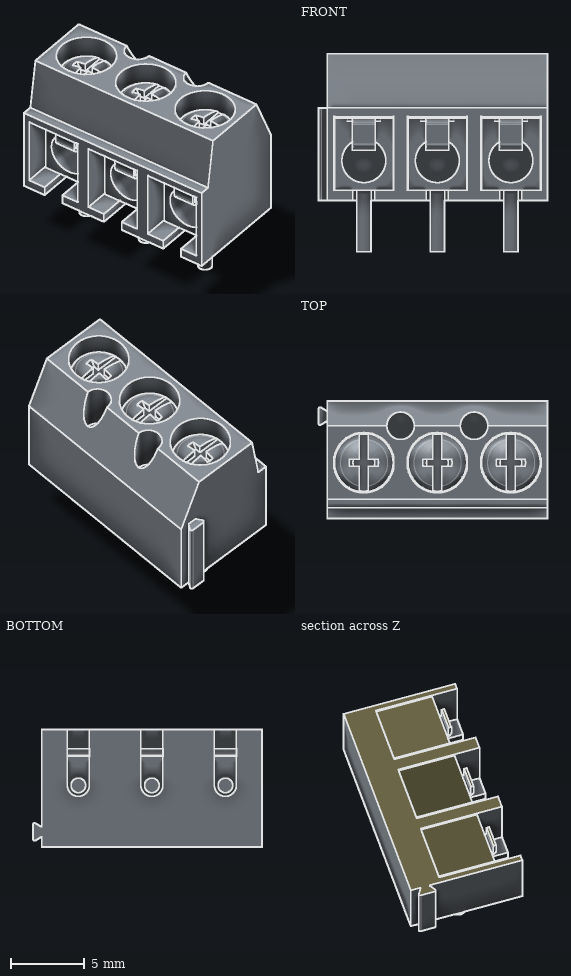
import cadquery as cq
import math


pole_count = 3
pitch = 5.0
pole_y = 3.8

housing_width = 15.0
housing_depth = 8.0
housing_height = 10.0
shoulder_height = 6.3
shoulder_depth = 0.73
top_front_y = 1.31
top_back_y = 6.32
floor_thickness = 0.69
chamber_width = 4.1
chamber_height = 5.02
pin_slot_width = 1.5
screw_bore_diameter = chamber_width
notch_diameter = 1.87
notch_floor_z = shoulder_height

rail_depth = 0.6
rail_y = 6.97
rail_neck_width = 0.67
rail_face_width = 1.4
rail_corner_radius = 0.117

block_side = 4.0
block_height = 4.91
pad_side = 3.37
wire_hole_diameter = 3.0
wire_hole_z = 2.71
pin_diameter = 1.0
pin_length = 3.5

tongue_width = 1.58
tongue_thickness = 0.22
tongue_reach = 0.48
tongue_bend_radius = 0.42
tongue_bottom_z = 3.43
tongue_root_radius = 0.33

screw_diameter = block_side
screw_rim_width = 0.39
dome_edge_z = 8.69
dome_rise = 0.31
slot_width = 0.61
slot_floor_z = 8.36
cross_width = 0.48
cross_top_length = 2.12
cross_floor_length = 1.48

pole_xs = [housing_width / 2 + pitch * (i - (pole_count - 1) / 2) for i in range(pole_count)]
notch_xs = [x + pitch / 2 for x in pole_xs[:-1]]
chamber_top_z = floor_thickness + chamber_height
block_top_z = floor_thickness + block_height
block_front_y = pole_y - block_side / 2
block_back_y = pole_y + block_side / 2


def vertical_cylinder(x, y, diameter, bottom_z, top_z):
    return cq.Workplane(origin=(x, y, bottom_z)).circle(diameter / 2).extrude(top_z - bottom_z)


def block_between(x, width, front_y, back_y, bottom_z, top_z):
    """A box centred on x across its width."""
    return cq.Workplane(origin=(x, front_y, bottom_z)).box(
        width, back_y - front_y, top_z - bottom_z, centered=(True, False, False)
    )


def housing_shell():
    """Plain housing: a side outline with a front shoulder and a sloping back, run along X."""
    return (
        cq.Workplane("YZ")
        .polyline(
            [
                (0, 0),
                (housing_depth, 0),
                (housing_depth, shoulder_height),
                (top_back_y, housing_height),
                (top_front_y, housing_height),
                (shoulder_depth, shoulder_height),
                (0, shoulder_height),
            ]
        )
        .close()
        .extrude(housing_width)
    )


def dovetail_rail():
    """Rail that widens away from the side wall and has rounded outer corners."""
    return (
        cq.Workplane(origin=(0, rail_y, 0))
        .polyline(
            [
                (0, -rail_neck_width / 2),
                (0, rail_neck_width / 2),
                (-rail_depth, rail_face_width / 2),
                (-rail_depth, -rail_face_width / 2),
            ]
        )
        .close()
        .extrude(shoulder_height)
        .edges("|Z and <X")
        .fillet(rail_corner_radius)
    )


def pole_cavity(x):
    """Chamber for the terminal, slot in the floor for the pin, and bore for the screw."""
    chamber = block_between(x, chamber_width, 0, block_back_y, floor_thickness, chamber_top_z)
    slot = block_between(x, pin_slot_width, 0, pole_y, 0, floor_thickness)
    slot_end = vertical_cylinder(x, pole_y, pin_slot_width, 0, floor_thickness)
    screw_bore = vertical_cylinder(x, pole_y, screw_bore_diameter, chamber_top_z, housing_height)
    return chamber.union(slot).union(slot_end).union(screw_bore)


def make_housing():
    housing = housing_shell().union(dovetail_rail())
    for x in pole_xs:
        housing = housing.cut(pole_cavity(x))
    for x in notch_xs:
        housing = housing.cut(
            vertical_cylinder(x, top_back_y, notch_diameter, notch_floor_z, housing_height)
        )
    return housing


def tongue_strip(x):
    """Strip that leaves the block forwards, bends down and curls back at its lower end."""
    outer = tongue_bend_radius
    inner = outer - tongue_thickness
    front_y = block_front_y - tongue_reach
    inside_y = front_y + tongue_thickness
    bend_y = front_y + outer
    upper_bend_z = block_top_z - outer
    lower_bend_z = tongue_bottom_z + outer
    diagonal = math.sqrt(0.5)
    return (
        cq.Workplane("YZ", origin=(x, 0, 0))
        .moveTo(block_front_y, block_top_z)
        .lineTo(bend_y, block_top_z)
        .threePointArc(
            (bend_y - outer * diagonal, upper_bend_z + outer * diagonal), (front_y, upper_bend_z)
        )
        .lineTo(front_y, lower_bend_z)
        .threePointArc(
            (bend_y - outer * diagonal, lower_bend_z - outer * diagonal), (bend_y, tongue_bottom_z)
        )
        .lineTo(bend_y, tongue_bottom_z + tongue_thickness)
        .threePointArc(
            (bend_y - inner * diagonal, lower_bend_z - inner * diagonal), (inside_y, lower_bend_z)
        )
        .lineTo(inside_y, upper_bend_z)
        .threePointArc(
            (bend_y - inner * diagonal, upper_bend_z + inner * diagonal),
            (bend_y, block_top_z - tongue_thickness),
        )
        .lineTo(block_front_y, block_top_z - tongue_thickness)
        .close()
        .extrude(tongue_width / 2, both=True)
    )


def tongue_root(x, side):
    """Concave corner between the block's front face and one side (-1 or 1) of the tongue."""
    radius = tongue_root_radius
    corner_x = x + side * tongue_width / 2
    front_y = block_front_y - radius
    bottom_z = block_top_z - tongue_thickness
    corner = block_between(
        corner_x + side * radius / 2, radius, front_y, block_front_y, bottom_z, block_top_z
    )
    return corner.cut(
        vertical_cylinder(corner_x + side * radius, front_y, 2 * radius, bottom_z, block_top_z)
    )


def make_terminal(x):
    """Drilled block with a pad on top, a pin below and a wire guard tongue in front."""
    block = block_between(x, block_side, block_front_y, block_back_y, floor_thickness, block_top_z)
    half_pad = pad_side / 2
    pad = block_between(
        x, pad_side, pole_y - half_pad, pole_y + half_pad, block_top_z, chamber_top_z
    )
    pin = vertical_cylinder(x, pole_y, pin_diameter, -pin_length, floor_thickness)
    wire_hole = (
        cq.Workplane("XZ", origin=(x, block_front_y, wire_hole_z))
        .circle(wire_hole_diameter / 2)
        .extrude(-block_side)
    )
    terminal = block.cut(wire_hole).union(pad).union(pin).union(tongue_strip(x))
    for side in (-1, 1):
        terminal = terminal.union(tongue_root(x, side))
    return terminal


def screw_body(x):
    """Cylinder on the terminal's pad, with a shallow dome and a rim arc tangent to dome and side."""
    radius = screw_diameter / 2
    dome_radius = radius - screw_rim_width
    sphere_radius = (dome_radius**2 + dome_rise**2) / (2 * dome_rise)
    sphere_z = dome_edge_z + dome_rise - sphere_radius
    edge_slope = math.asin(dome_radius / sphere_radius)
    half_slope = edge_slope / 2

    rim_radius = screw_rim_width / (1 - math.sin(edge_slope))
    rim_centre_r = radius - rim_radius
    rim_centre_z = dome_edge_z - rim_radius * math.cos(edge_slope)
    rim_middle = (edge_slope + math.pi / 2) / 2
    return (
        cq.Workplane("XZ", origin=(x, pole_y, 0))
        .moveTo(0, chamber_top_z)
        .lineTo(radius, chamber_top_z)
        .lineTo(radius, rim_centre_z)
        .threePointArc(
            (
                rim_centre_r + rim_radius * math.sin(rim_middle),
                rim_centre_z + rim_radius * math.cos(rim_middle),
            ),
            (dome_radius, dome_edge_z),
        )
        .threePointArc(
            (sphere_radius * math.sin(half_slope), sphere_z + sphere_radius * math.cos(half_slope)),
            (0, dome_edge_z + dome_rise),
        )
        .close()
        .revolve(360, (0, 0, 0), (0, 1, 0))
    )


def screw_drive(x):
    """Full-width slot along Y, crossed by a short slot along X whose ends taper on a cone."""
    radius = screw_diameter / 2
    top_z = dome_edge_z + dome_rise
    slot = block_between(x, slot_width, pole_y - radius, pole_y + radius, slot_floor_z, top_z)
    taper = (
        cq.Workplane(origin=(x, pole_y, slot_floor_z))
        .circle(cross_floor_length / 2)
        .workplane(offset=top_z - slot_floor_z)
        .circle(cross_top_length / 2)
        .loft()
    )
    half_cross = cross_width / 2
    cross = block_between(
        x, cross_top_length, pole_y - half_cross, pole_y + half_cross, slot_floor_z, top_z
    )
    return slot.union(cross.intersect(taper))


def make_screw(x):
    return screw_body(x).cut(screw_drive(x))


housing = make_housing()
terminals = [make_terminal(x) for x in pole_xs]
screws = [make_screw(x) for x in pole_xs]

result = cq.Compound.makeCompound(
    [housing.val()] + [terminal.val() for terminal in terminals] + [screw.val() for screw in screws]
)